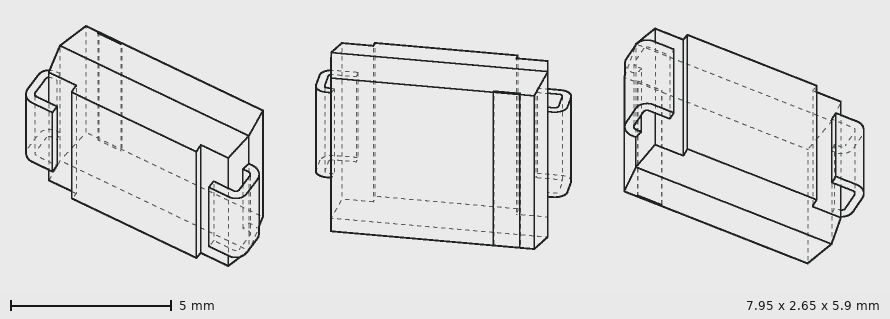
import cadquery as cq
import math


overall_length = 7.95
overall_thickness = 2.65
body_length = 6.85
body_width = 5.9
draft_angle = 10.0

parting_y = 1.43
ledge_y = 0.47
pad_front_y = 0.2
pad_length = 4.52

lead_width = 3.04
lead_thickness = 0.28
lead_outer_radius = 0.405
lead_inner_radius = lead_outer_radius - lead_thickness
foot_length = 1.14

band_length = 0.835
band_depth = 0.055
band_center_x = -2.34

back_depth = overall_thickness - parting_y
front_depth = parting_y - pad_front_y


def tapered_half(depth, direction):
    """Half of the moulded body, narrowing from the parting level along direction * Y."""
    inset = 2 * depth * math.tan(math.radians(draft_angle))
    return (
        cq.Workplane("XZ", origin=(0, parting_y, 0))
        .rect(body_length, body_width)
        .workplane(offset=-direction * depth)
        .rect(body_length - inset, body_width - inset)
        .loft(ruled=True)
    )


def make_body_envelope():
    """Moulded body with the end ledges, before the band is let into its back."""
    envelope = tapered_half(back_depth, 1).union(tapered_half(front_depth, -1))
    ledge_depth = ledge_y - pad_front_y
    ledge_length = (body_length - pad_length) / 2
    for side in (-1, 1):
        ledge_cut = cq.Workplane("XY").box(ledge_length, ledge_depth, body_width).translate(
            (side * (pad_length + ledge_length) / 2, pad_front_y + ledge_depth / 2, 0)
        )
        envelope = envelope.cut(ledge_cut)
    return envelope


def make_polarity_band(envelope):
    """Thin strip flush with the back, its ends following the drafted body sides."""
    strip = cq.Workplane("XY").box(band_length, band_depth, body_width).translate(
        (band_center_x, overall_thickness - band_depth / 2, 0)
    )
    return strip.intersect(envelope)


def make_lead(side, envelope):
    """C-shaped strip lead; side is -1 or +1 in X, and its arm ends on the body face."""
    arm_length = overall_length / 2 - pad_length / 2
    outer_center_x = (overall_length - arm_length) / 2
    outer = (
        cq.Workplane("XY")
        .box(arm_length, parting_y, lead_width)
        .translate((outer_center_x, parting_y / 2, 0))
        .edges("|Z and >X")
        .fillet(lead_outer_radius)
    )
    inner = (
        cq.Workplane("XY")
        .box(arm_length, parting_y - 2 * lead_thickness, lead_width)
        .translate((outer_center_x - lead_thickness, parting_y / 2, 0))
        .edges("|Z and >X")
        .fillet(lead_inner_radius)
    )
    foot_trim_length = arm_length - foot_length
    foot_trim = cq.Workplane("XY").box(foot_trim_length, lead_thickness, lead_width).translate(
        ((pad_length + foot_trim_length) / 2, lead_thickness / 2, 0)
    )
    lead = outer.cut(inner).cut(foot_trim)
    if side < 0:
        lead = lead.mirror("YZ")
    return lead.cut(envelope)


body_envelope = make_body_envelope()
polarity_band = make_polarity_band(body_envelope)
body = body_envelope.cut(polarity_band)
leads = [make_lead(side, body_envelope) for side in (-1, 1)]

result = cq.Compound.makeCompound([body.val(), polarity_band.val(), *[lead.val() for lead in leads]])